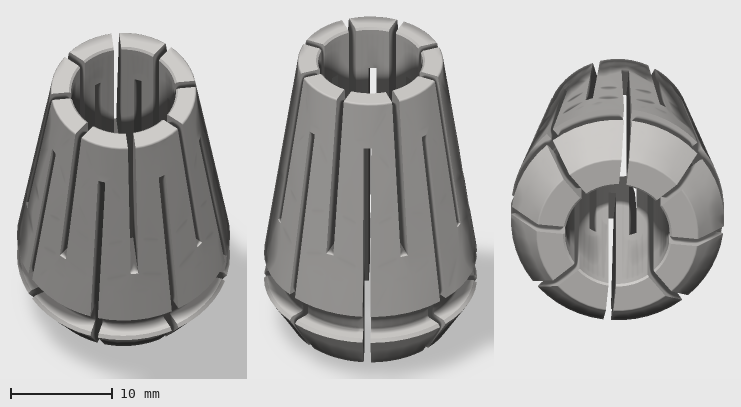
import cadquery as cq
import math

LENGTH = 31.5
BORE_DIAMETER = 10.32
MAX_RADIUS = 10.5

TAPER_HALF_ANGLE = 8.0
TAPER_START_Z = 7.65

GROOVE_RADIUS = 8.75
GROOVE_FLOOR_Z = 4.73
GROOVE_FILLET = 0.2

NOSE_HALF_ANGLE = 30.0
NOSE_RIM_Z = 4.43
NOSE_RIM_CHAMFER = GROOVE_FLOOR_Z - NOSE_RIM_Z

END_FILLET = 0.2
BORE_CHAMFER = 0.2

SLOT_WIDTH = 0.75
SLOT_REACH = 1.5 * MAX_RADIUS
SLOTS_PER_END = 8
SLOT_PITCH = 360 / SLOTS_PER_END
LOWER_SLOT_TOP_Z = 26.55
UPPER_SLOT_FLOOR_Z = 14.05


def make_body():
    """Revolve the two tapers and the groove between them into a bored blank."""
    bore_radius = BORE_DIAMETER / 2
    taper_height = LENGTH - TAPER_START_Z
    top_radius = MAX_RADIUS - taper_height * math.tan(math.radians(TAPER_HALF_ANGLE))
    nose_radius = MAX_RADIUS - NOSE_RIM_Z * math.tan(math.radians(NOSE_HALF_ANGLE))
    profile = (
        cq.Workplane("XZ")
        .moveTo(bore_radius, 0)
        .lineTo(nose_radius, 0)
        .lineTo(MAX_RADIUS, NOSE_RIM_Z)
        .lineTo(MAX_RADIUS - NOSE_RIM_CHAMFER, GROOVE_FLOOR_Z)
        .lineTo(GROOVE_RADIUS, GROOVE_FLOOR_Z)
        .lineTo(GROOVE_RADIUS, TAPER_START_Z)
        .lineTo(MAX_RADIUS, TAPER_START_Z)
        .lineTo(top_radius, LENGTH)
        .lineTo(bore_radius, LENGTH)
        .close()
    )
    return profile.revolve(360, (0, 0, 0), (0, 1, 0))


def soften_edges(body):
    """Round the groove corners and end rims, and chamfer both bore mouths."""
    outermost = cq.selectors.RadiusNthSelector(-1)
    innermost = cq.selectors.RadiusNthSelector(0)
    groove_reach = GROOVE_RADIUS + GROOVE_FILLET
    groove_box = cq.selectors.BoxSelector(
        (-groove_reach, -groove_reach, GROOVE_FLOOR_Z - GROOVE_FILLET),
        (groove_reach, groove_reach, TAPER_START_Z + GROOVE_FILLET),
        boundingbox=True,
    )
    body = body.edges(groove_box).fillet(GROOVE_FILLET)
    for end in (">Z", "<Z"):
        body = body.faces(end).edges(outermost).fillet(END_FILLET)
        body = body.faces(end).edges(innermost).chamfer(BORE_CHAMFER)
    return body


def cut_slots(body, first_angle, bottom_z, top_z):
    """Cut evenly spaced radial slots through the wall between two heights."""
    for index in range(SLOTS_PER_END):
        slot = (
            cq.Workplane("XY")
            .box(SLOT_REACH, SLOT_WIDTH, top_z - bottom_z, centered=(False, True, False))
            .translate((0, 0, bottom_z))
            .rotate((0, 0, 0), (0, 0, 1), first_angle + index * SLOT_PITCH)
        )
        body = body.cut(slot)
    return body


collet = soften_edges(make_body())
collet = cut_slots(collet, 0, 0, LOWER_SLOT_TOP_Z)
result = cut_slots(collet, SLOT_PITCH / 2, UPPER_SLOT_FLOOR_Z, LENGTH)